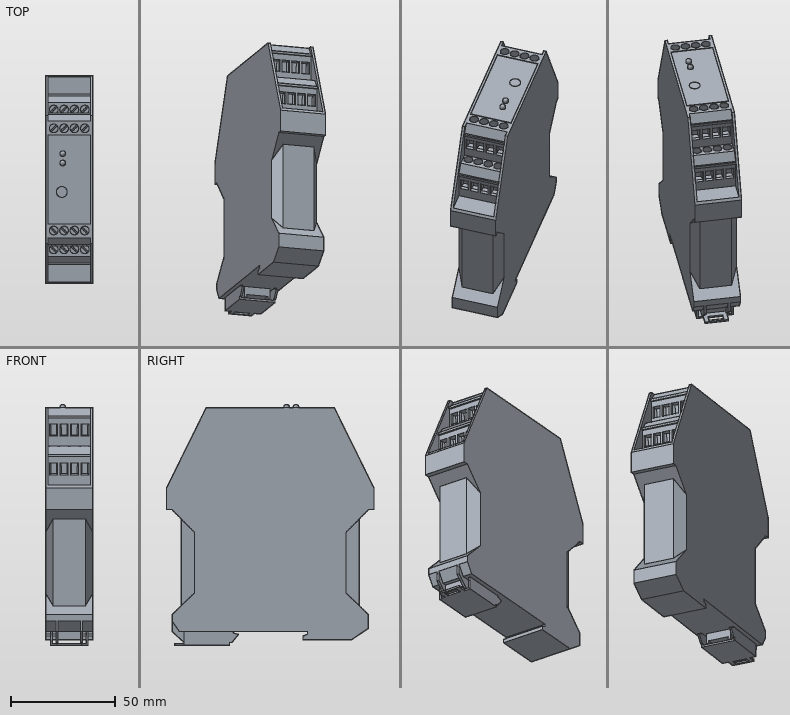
import cadquery as cq


WIDTH = 22.6
LENGTH = 99.0
HEIGHT = 114.8

TOP_Z = 113.3
TOP_HALF = 30.5
SHOULDER_Z = 75.0
SHOULDER_BASE_Z = 64.6
SHOULDER_STEP = 2.6
WAIST_HALF = 36.0
WAIST_TOP_Z = 53.9
WAIST_BASE_Z = 25.0
BASE_HALF = 46.7
BASE_TOP_Z = 14.8
BASE_Z = 6.5

FOOT_Z = 2.6
FOOT_CORNER_Z = 8.0
FOOT_CORNER_Y = 38.7
FOOT_TIP_Y = 15.5
FOOT_LIP_Z = 4.5
RAIL_SLOT_Y = 17.7
RAIL_SLOT_Z = 5.4

LATCH_CHAMFER_Y = 43.3
LATCH_CHAMFER_Z = 11.6

GRIP_FACE_HALF_X = 7.7
GRIP_FACE_Y = 42.5

BAY_WIDTH = 20.2
BAY_FLOOR_Z = 76.4

STEP_COUNT = 2
STEP_RISE = 18.4
STEP_RUN = 9.0
UPPER_FACE_Y = 30.9
CHAMFER_HEIGHT = 3.9
CHAMFER_DEPTH = 3.1
LIP_HEIGHT = 1.1
LIP_DEPTH = 0.8

TERMINAL_COUNT = 4
TERMINAL_PITCH = 4.9
SCREW_DIAMETER = 4.1
SCREW_HOLE_DEPTH = 5.7
SCREW_SETBACK = 6.5
SCREW_SLOT_WIDTH = 0.7
SCREW_SLOT_DEPTH = 0.6
SCREW_SLOT_ANGLE = 45
WINDOW_WIDTH = 3.8
WINDOW_HEIGHT = 5.7
WINDOW_DROP = 10.8
WINDOW_END_WIDTH = 2.6
WINDOW_END_HEIGHT = 3.2
WINDOW_END_DROP = 0.6
WINDOW_DEPTH = 3.2
WINDOW_FLOOR_DEPTH = 1.6
WINDOW_CEILING_DEPTH = 2.9

PANEL_HALF_LENGTH = 21.2
PANEL_RECESS = 0.3
LED_X = -3.1
LED_Y = (7.8, 12.3)
LED_DIAMETER = 2.8
LED_ROUNDING = 1.3
BUTTON_X = -3.6
BUTTON_Y = -6.0
BUTTON_DIAMETER = 5.2
BUTTON_RECESS = 0.1

LATCH_HALF_X = 9.0
LATCH_WALL = 0.9
LATCH_FRONT_Y = -41.1
LATCH_BACK_Y = -19.4
LATCH_PLATE = 0.9
LATCH_CORE_BASE_Z = 2.6
HOOK_TIP_Y = -15.0
HOOK_TIP_Z = 5.3
HOOK_TOP_Y = -17.6
HOOK_TOP_Z = 6.0
HOOK_BASE_Y = -18.3
HOOK_BASE_Z = 1.4
RIB_CENTER_X = 5.9
RIB_WIDTH = 1.1
TAB_HALF_X = 5.7
TAB_END_Y = -45.6
TAB_SLOT_HALF_X = 3.6
TAB_SLOT_Y = (-44.4, -41.6)

HALF_WIDTH = WIDTH / 2
HALF_LENGTH = LENGTH / 2
TERMINAL_X = [(i - (TERMINAL_COUNT - 1) / 2) * TERMINAL_PITCH for i in range(TERMINAL_COUNT)]
STEP_TOPS = [(UPPER_FACE_Y + level * STEP_RUN, TOP_Z - level * STEP_RISE) for level in range(STEP_COUNT)]


def extrude_across(points, x_min, x_max):
    """Extrude a (y, z) outline along X between two planes."""
    return cq.Workplane("YZ", origin=(x_min, 0, 0)).polyline(points).close().extrude(x_max - x_min)


def box_between(x_range, y_range, z_range):
    """Box spanning the given ranges."""
    corner = (x_range[0], y_range[0], z_range[0])
    size = [high - low for low, high in (x_range, y_range, z_range)]
    return cq.Workplane("XY").box(*size, centered=False).translate(corner)


def both_ends(shape):
    """The shape together with its mirror image at the other end in Y."""
    return shape.union(shape.mirror("XZ"))


def make_housing():
    neck = HALF_LENGTH - SHOULDER_STEP
    outline = [
        (TOP_HALF, TOP_Z),
        (HALF_LENGTH, SHOULDER_Z),
        (HALF_LENGTH, SHOULDER_BASE_Z),
        (neck, SHOULDER_BASE_Z),
        (WAIST_HALF, WAIST_TOP_Z),
        (WAIST_HALF, WAIST_BASE_Z),
        (BASE_HALF, BASE_TOP_Z),
        (BASE_HALF, FOOT_CORNER_Z),
        (FOOT_CORNER_Y, FOOT_Z),
        (FOOT_TIP_Y, FOOT_Z),
        (FOOT_TIP_Y, FOOT_LIP_Z),
        (RAIL_SLOT_Y, RAIL_SLOT_Z),
        (RAIL_SLOT_Y, BASE_Z),
        (-LATCH_CHAMFER_Y, BASE_Z),
        (-BASE_HALF, LATCH_CHAMFER_Z),
        (-BASE_HALF, BASE_TOP_Z),
        (-WAIST_HALF, WAIST_BASE_Z),
        (-WAIST_HALF, WAIST_TOP_Z),
        (-neck, SHOULDER_BASE_Z),
        (-HALF_LENGTH, SHOULDER_BASE_Z),
        (-HALF_LENGTH, SHOULDER_Z),
        (-TOP_HALF, TOP_Z),
    ]
    return extrude_across(outline, -HALF_WIDTH, HALF_WIDTH)


def make_grips():
    """Tapered blocks filling the waist, reaching into the slopes above and below."""
    outline = [
        (-HALF_WIDTH, -WAIST_HALF),
        (-GRIP_FACE_HALF_X, -GRIP_FACE_Y),
        (GRIP_FACE_HALF_X, -GRIP_FACE_Y),
        (HALF_WIDTH, -WAIST_HALF),
    ]
    reach = GRIP_FACE_Y - WAIST_HALF
    bottom = WAIST_BASE_Z - reach
    height = WAIST_TOP_Z + reach - bottom
    return both_ends(cq.Workplane("XY", origin=(0, 0, bottom)).polyline(outline).close().extrude(height))


def make_bays():
    """Stepped space in front of the terminal blocks at each end."""
    slope = (HALF_LENGTH - TOP_HALF) / (TOP_Z - SHOULDER_Z)
    floor_end = TOP_HALF + (TOP_Z - BAY_FLOOR_Z) * slope
    outline = []
    step_floors = (TOP_Z - STEP_RISE, BAY_FLOOR_Z)
    for (face_y, top_z), floor_z in zip(STEP_TOPS, step_floors):
        chamfer_z = top_z - CHAMFER_HEIGHT
        lip_y = face_y + LIP_DEPTH
        outline += [
            (face_y - CHAMFER_DEPTH, top_z),
            (face_y, chamfer_z),
            (lip_y, chamfer_z),
            (lip_y, chamfer_z - LIP_HEIGHT),
            (face_y, chamfer_z - LIP_HEIGHT),
            (face_y, floor_z),
        ]
    outline += [(floor_end, BAY_FLOOR_Z), (HALF_LENGTH, BAY_FLOOR_Z), (HALF_LENGTH, TOP_Z)]
    return both_ends(extrude_across(outline, -BAY_WIDTH / 2, BAY_WIDTH / 2))


def make_screw_hole(x, y, top_z):
    """Round hole with a slotted screw head at its bottom."""
    radius = SCREW_DIAMETER / 2
    bottom = top_z - SCREW_HOLE_DEPTH
    hole = cq.Workplane("XY", origin=(x, y, bottom)).circle(radius).extrude(SCREW_HOLE_DEPTH)
    slot = cq.Workplane("XY", origin=(x, y, bottom)).transformed(rotate=(0, 0, SCREW_SLOT_ANGLE))
    slot = slot.rect(SCREW_DIAMETER, SCREW_SLOT_WIDTH).extrude(-SCREW_SLOT_DEPTH)
    rim = cq.Workplane("XY", origin=(x, y, bottom)).circle(radius).extrude(-SCREW_SLOT_DEPTH)
    return hole.union(slot.intersect(rim))


def make_wire_window(x, face_y, center_z):
    """Straight-mouthed pocket whose floor, ceiling and sides close in on a smaller end wall."""
    end_y = face_y - WINDOW_DEPTH
    floor_y = face_y - WINDOW_FLOOR_DEPTH
    ceiling_y = face_y - WINDOW_CEILING_DEPTH
    bottom = center_z - WINDOW_HEIGHT / 2
    top = center_z + WINDOW_HEIGHT / 2
    end_z = center_z - WINDOW_END_DROP
    side_outline = [
        (face_y, bottom),
        (floor_y, bottom),
        (end_y, end_z - WINDOW_END_HEIGHT / 2),
        (end_y, end_z + WINDOW_END_HEIGHT / 2),
        (ceiling_y, top),
        (face_y, top),
    ]
    half = WINDOW_WIDTH / 2
    end_half = WINDOW_END_WIDTH / 2
    plan_outline = [
        (x - half, face_y),
        (x - half, floor_y),
        (x - end_half, end_y),
        (x + end_half, end_y),
        (x + half, floor_y),
        (x + half, face_y),
    ]
    plan = cq.Workplane("XY", origin=(0, 0, bottom)).polyline(plan_outline).close().extrude(WINDOW_HEIGHT)
    return plan.intersect(extrude_across(side_outline, x - half, x + half))


def cut_terminals(body):
    for face_y, top_z in STEP_TOPS:
        for x in TERMINAL_X:
            body = body.cut(both_ends(make_screw_hole(x, face_y - SCREW_SETBACK, top_z)))
            body = body.cut(both_ends(make_wire_window(x, face_y, top_z - WINDOW_DROP)))
    return body


def add_top_panel(body):
    panel_z = TOP_Z - PANEL_RECESS
    half_x = BAY_WIDTH / 2
    span_y = (-PANEL_HALF_LENGTH, PANEL_HALF_LENGTH)
    body = body.cut(box_between((-half_x, half_x), span_y, (panel_z, TOP_Z)))
    button = cq.Workplane("XY", origin=(BUTTON_X, BUTTON_Y, panel_z)).circle(BUTTON_DIAMETER / 2)
    body = body.cut(button.extrude(-BUTTON_RECESS))
    for y in LED_Y:
        body = body.union(make_led(y, panel_z))
    return body


def make_led(y, base_z):
    """Round lamp with a rounded top edge."""
    lamp = cq.Workplane("XY", origin=(LED_X, y, base_z)).circle(LED_DIAMETER / 2).extrude(HEIGHT - base_z)
    return lamp.faces(">Z").edges().fillet(LED_ROUNDING)


def make_latch():
    """Open latch: two hooked side walls, a floor plate with a pull tab, two ribs and a core."""
    wall_outline = [
        (LATCH_FRONT_Y, 0),
        (LATCH_BACK_Y, 0),
        (LATCH_BACK_Y, HOOK_BASE_Z),
        (HOOK_BASE_Y, HOOK_BASE_Z),
        (HOOK_TIP_Y, HOOK_TIP_Z),
        (HOOK_TOP_Y, HOOK_TOP_Z),
        (HOOK_TOP_Y, BASE_Z),
        (LATCH_FRONT_Y, BASE_Z),
    ]
    rib_outline = [
        (-BASE_HALF, LATCH_CHAMFER_Z),
        (-BASE_HALF, BASE_Z),
        (LATCH_FRONT_Y, HOOK_BASE_Z),
        (LATCH_BACK_Y, HOOK_BASE_Z),
        (LATCH_BACK_Y, BASE_Z),
        (-LATCH_CHAMFER_Y, BASE_Z),
    ]
    plate_z = (0, LATCH_PLATE)
    latch = box_between((-LATCH_HALF_X, LATCH_HALF_X), (LATCH_FRONT_Y, LATCH_BACK_Y), plate_z)
    latch = latch.union(box_between((-TAB_HALF_X, TAB_HALF_X), (TAB_END_Y, LATCH_FRONT_Y), plate_z))
    latch = latch.cut(box_between((-TAB_SLOT_HALF_X, TAB_SLOT_HALF_X), TAB_SLOT_Y, plate_z))
    core_y = (LATCH_FRONT_Y, LATCH_BACK_Y)
    latch = latch.union(box_between((-RIB_CENTER_X, RIB_CENTER_X), core_y, (LATCH_CORE_BASE_Z, BASE_Z)))
    for side in (-1, 1):
        wall_x = side * (LATCH_HALF_X - LATCH_WALL / 2)
        rib_x = side * RIB_CENTER_X
        latch = latch.union(extrude_across(wall_outline, wall_x - LATCH_WALL / 2, wall_x + LATCH_WALL / 2))
        latch = latch.union(extrude_across(rib_outline, rib_x - RIB_WIDTH / 2, rib_x + RIB_WIDTH / 2))
    return latch


body = make_housing().union(make_grips()).cut(make_bays())
body = cut_terminals(body)
body = add_top_panel(body)
result = body.union(make_latch())